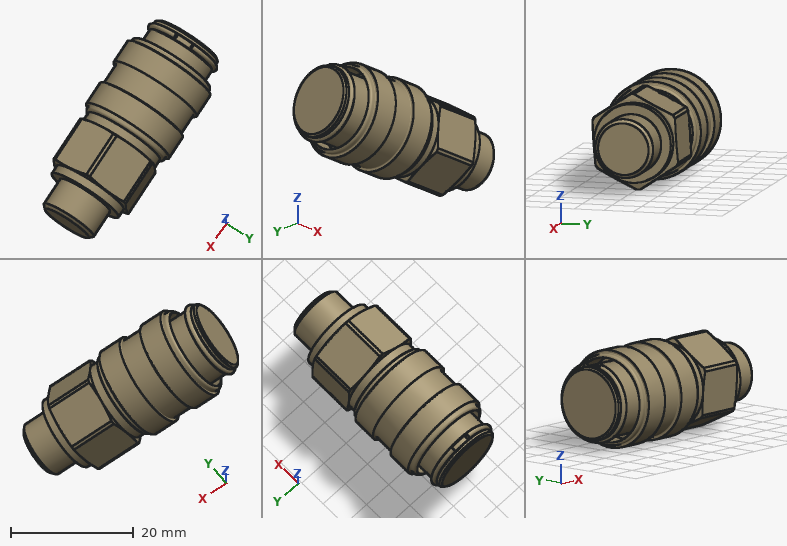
import cadquery as cq
import math

GROOVE_START = 0.9
GROOVE_END = 2.0
SLEEVE_START = 4.5
FIRST_BAND_START = 5.58
BAND_WIDTH = 4.1
BAND_PITCH = 8.25
SLEEVE_END = 19.0
HEX_START = 20.6
HEX_END = 29.1
COLLAR_END = 30.65
TOTAL_LENGTH = 36.15

PLUG_DIAMETER = 12.15
PLUG_FACE_DIAMETER = 11.4
PLUG_CHAMFER_LENGTH = 0.3
GROOVE_DIAMETER = 11.23

SLEEVE_DIAMETER = 15.1
BAND_DIAMETER = 16.15
BAND_FOOT_FILLET = 0.1
SLEEVE_FRONT_FILLET = 0.5
SLEEVE_REAR_FILLET = 0.5
SLEEVE_BORE_DIAMETER = 14.0
SLEEVE_BORE_DEPTH = 4.0

NECK_DIAMETER = 14.0
HEX_ACROSS_FLATS = 14.0
HEX_CORNER_DIAMETER = 15.8
HEX_CHAMFER_LENGTH = 0.22
HEX_ROLL = 4.1
COLLAR_DIAMETER = 13.0
THREAD_DIAMETER = 9.73
THREAD_CHAMFER = 0.6

WIRE_DIAMETER = 1.0
GAP_TO_PLUS_Y = 17.0
GAP_TO_MINUS_Y = 12.5


def cylinder(start, end, diameter):
    """Solid cylinder on the X axis between two stations."""
    return cq.Workplane("YZ", origin=(start, 0, 0)).circle(diameter / 2).extrude(end - start)


def make_plug():
    """Front plug, chamfered at the face and grooved for the ring."""
    plug = cq.Workplane("XY").polyline([
        (0, 0),
        (0, PLUG_FACE_DIAMETER / 2),
        (PLUG_CHAMFER_LENGTH, PLUG_DIAMETER / 2),
        (GROOVE_START, PLUG_DIAMETER / 2),
        (GROOVE_START, GROOVE_DIAMETER / 2),
        (GROOVE_END, GROOVE_DIAMETER / 2),
        (GROOVE_END, PLUG_DIAMETER / 2),
        (SLEEVE_END, PLUG_DIAMETER / 2),
        (SLEEVE_END, 0),
    ]).close()
    return plug.revolve(360, (0, 0, 0), (1, 0, 0))


def make_band(start):
    """Raised band on the sleeve, flared by a small cove at each foot."""
    end = start + BAND_WIDTH
    base = SLEEVE_DIAMETER / 2
    cove = BAND_FOOT_FILLET
    band = (
        cq.Workplane("XY")
        .moveTo(start - cove, 0)
        .lineTo(start - cove, base)
        .radiusArc((start, base + cove), -cove)
        .lineTo(start, BAND_DIAMETER / 2)
        .lineTo(end, BAND_DIAMETER / 2)
        .lineTo(end, base + cove)
        .radiusArc((end + cove, base), -cove)
        .lineTo(end + cove, 0)
        .close()
    )
    return band.revolve(360, (0, 0, 0), (1, 0, 0))


def make_sleeve():
    """Sleeve with rounded ends, two raised bands and a recess open to the front."""
    sleeve = cylinder(SLEEVE_START, SLEEVE_END, SLEEVE_DIAMETER)
    sleeve = sleeve.faces("<X").edges().fillet(SLEEVE_FRONT_FILLET)
    sleeve = sleeve.faces(">X").edges().fillet(SLEEVE_REAR_FILLET)
    for index in range(2):
        sleeve = sleeve.union(make_band(FIRST_BAND_START + index * BAND_PITCH))
    return sleeve.cut(cylinder(SLEEVE_START, SLEEVE_START + SLEEVE_BORE_DEPTH, SLEEVE_BORE_DIAMETER))


def make_hexagon():
    """Hexagon with turned-down corners and both ends chamfered by a cone."""
    corner_to_corner = HEX_ACROSS_FLATS / math.cos(math.pi / 6)
    prism = (
        cq.Workplane("YZ", origin=(HEX_START, 0, 0))
        .polygon(6, corner_to_corner)
        .extrude(HEX_END - HEX_START)
        .rotate((0, 0, 0), (1, 0, 0), 90 + HEX_ROLL)
    )
    flat = HEX_ACROSS_FLATS / 2
    corner = HEX_CORNER_DIAMETER / 2
    envelope = cq.Workplane("XY").polyline([
        (HEX_START, 0),
        (HEX_START, flat),
        (HEX_START + HEX_CHAMFER_LENGTH, corner),
        (HEX_END - HEX_CHAMFER_LENGTH, corner),
        (HEX_END, flat),
        (HEX_END, 0),
    ]).close()
    return prism.intersect(envelope.revolve(360, (0, 0, 0), (1, 0, 0)))


def make_thread_end():
    """Plain threaded end with a chamfered tip."""
    end = cylinder(COLLAR_END, TOTAL_LENGTH, THREAD_DIAMETER)
    return end.faces(">X").edges().chamfer(THREAD_CHAMFER)


def make_housing():
    """Coupling housing, one solid from the plug to the threaded end."""
    return (
        make_plug()
        .union(make_sleeve())
        .union(cylinder(SLEEVE_END, HEX_START, NECK_DIAMETER))
        .union(make_hexagon())
        .union(cylinder(HEX_END, COLLAR_END, COLLAR_DIAMETER))
        .union(make_thread_end())
    )


def make_ring():
    """Round wire bent into an open ring that rests on the groove floor."""
    pitch_radius = (GROOVE_DIAMETER + WIRE_DIAMETER) / 2
    sweep = 360 - GAP_TO_PLUS_Y - GAP_TO_MINUS_Y
    return (
        cq.Workplane("XZ", origin=((GROOVE_START + GROOVE_END) / 2, 0, 0))
        .center(0, pitch_radius)
        .circle(WIRE_DIAMETER / 2)
        .revolve(sweep, (0, -pitch_radius, 0), (1, -pitch_radius, 0))
        .rotate((0, 0, 0), (1, 0, 0), GAP_TO_MINUS_Y)
    )


housing = make_housing()
ring = make_ring()

result = cq.Compound.makeCompound([housing.val(), ring.val()])